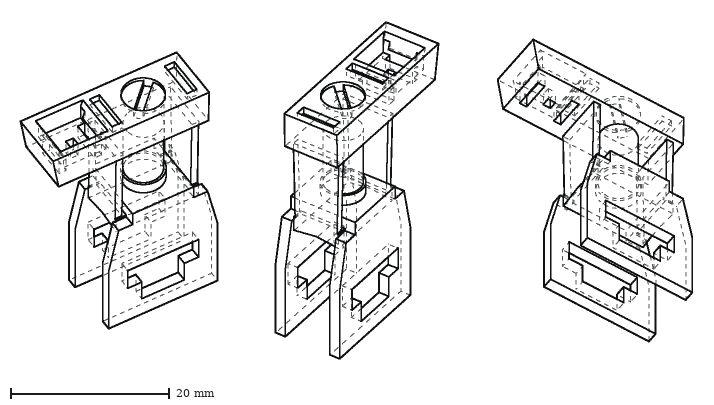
import cadquery as cq

total_height = 34.7
total_width = 9.8

plate_thickness = 1.53
plate_depth = 16.03
shoulder_depth = 13.1
taper_start_height = 10.75
shoulder_height = 17.5
bridge_depth = 9.02
bridge_height = 19.45
saddle_height = 17.85
saddle_edge_height = 15.7
saddle_peak_height = 16.15
plate_gap = total_width - 2 * plate_thickness

window_top = 9.23
window_step = 5.97
window_bottom = 2.88
window_wide = 10.4
window_narrow = 6.25

post_diameter = 5.15
collar_diameter = 5.8
collar_top = 21.0

cap_width = 8.0
cap_thickness = 5.2
cap_back = 7.32
cap_front = -15.7
cap_back_draft = 0.1
cap_front_draft = 0.85
cap_bottom = total_height - cap_thickness

leg_thickness = 1.0
leg_outer = 6.07
leg_top_width = 6.95
leg_bottom_width = 6.4

cap_slot_width = 5.48
cap_slot_depth = 1.42
cap_slot_sink = 1.0
cap_slot_offset = 5.5

head_diameter = 5.62
head_sink = 0.5
driver_slot_width = 1.2
driver_slot_depth = 1.0
driver_slot_angle = -45.0

pocket_center = -10.5
pocket_width = 6.15
pocket_mouth = 6.95
pocket_length = 6.25
pocket_floor = 31.58
catch_width = 4.05
catch_reach = 0.7
catch_drop = 2.0
catch_slot_length = 1.05
label_hole = 1.1


def box(width, depth, bottom, top, y_center=0.0):
    """Upright block centred on X = 0."""
    return (
        cq.Workplane("XY", origin=(0, y_center, bottom))
        .rect(width, depth)
        .extrude(top - bottom)
    )


def side_profile(points, width):
    """Closed (Y, Z) outline extruded along X, centred on X = 0."""
    return cq.Workplane("YZ").polyline(points).close().extrude(width / 2, both=True)


def front_profile(points, depth, y_center=0.0):
    """Closed (X, Z) outline extruded along Y, centred on y_center."""
    plane = cq.Workplane("XZ", origin=(0, y_center, 0))
    return plane.polyline(points).close().extrude(depth / 2, both=True)


def cylinder(diameter, bottom, top):
    return cq.Workplane("XY", origin=(0, 0, bottom)).circle(diameter / 2).extrude(top - bottom)


def make_clamp():
    half_plate = plate_depth / 2
    half_shoulder = shoulder_depth / 2
    half_bridge = bridge_depth / 2
    clamp = side_profile(
        [
            (-half_plate, 0),
            (half_plate, 0),
            (half_plate, taper_start_height),
            (half_shoulder, shoulder_height),
            (half_bridge, shoulder_height),
            (half_bridge, bridge_height),
            (-half_bridge, bridge_height),
            (-half_bridge, shoulder_height),
            (-half_shoulder, shoulder_height),
            (-half_plate, taper_start_height),
        ],
        total_width,
    )

    clamp = clamp.cut(box(plate_gap, plate_depth, 0, saddle_height))

    clamp = clamp.cut(box(total_width, window_wide, window_step, window_top))
    clamp = clamp.cut(box(total_width, window_narrow, window_bottom, window_step))

    half_gap = plate_gap / 2
    saddle = front_profile(
        [
            (-half_gap, saddle_edge_height),
            (0, saddle_peak_height),
            (half_gap, saddle_edge_height),
            (half_gap, saddle_height),
            (-half_gap, saddle_height),
        ],
        2 * leg_outer,
    )
    return clamp.union(saddle)


def make_leg(side):
    half_bottom = leg_bottom_width / 2
    half_top = leg_top_width / 2
    return front_profile(
        [
            (-half_bottom, saddle_height),
            (half_bottom, saddle_height),
            (half_top, cap_bottom),
            (-half_top, cap_bottom),
        ],
        leg_thickness,
        side * (leg_outer - leg_thickness / 2),
    )


def make_label_pocket():
    """Volume removed for the label, including its lead-in, catches and floor openings."""
    pocket = box(pocket_width, pocket_length, pocket_floor, total_height, pocket_center)
    pocket = pocket.union(box(label_hole, label_hole, cap_bottom, pocket_floor, pocket_center))

    for side in (-1, 1):
        mouth_y = pocket_center + side * pocket_mouth / 2
        wall_y = pocket_center + side * pocket_length / 2
        catch_y = mouth_y - side * catch_reach
        catch_bottom = total_height - catch_drop
        lead_in_drop = catch_drop * abs(mouth_y - wall_y) / catch_reach
        wall_top = total_height - lead_in_drop

        lead_in = side_profile(
            [(mouth_y, total_height), (wall_y, total_height), (wall_y, wall_top)], pocket_width
        )
        catch = side_profile(
            [(wall_y, wall_top), (catch_y, catch_bottom), (wall_y, catch_bottom)], catch_width
        )
        opening_y = wall_y - side * catch_slot_length / 2
        opening = box(catch_width, catch_slot_length, cap_bottom, pocket_floor, opening_y)

        pocket = pocket.union(lead_in).cut(catch).union(opening)
    return pocket


def make_cap():
    cap = side_profile(
        [
            (cap_front, total_height),
            (cap_back, total_height),
            (cap_back - cap_back_draft, cap_bottom),
            (cap_front + cap_front_draft, cap_bottom),
        ],
        cap_width,
    )

    for side in (-1, 1):
        slot_floor = total_height - cap_slot_sink
        slot_y = side * cap_slot_offset
        cap = cap.cut(box(cap_slot_width, cap_slot_depth, slot_floor, total_height, slot_y))

    head_top = total_height - head_sink
    slot_bottom = head_top - driver_slot_depth
    driver_slot = (
        box(head_diameter, driver_slot_width, slot_bottom, head_top)
        .rotate((0, 0, 0), (0, 0, 1), driver_slot_angle)
        .intersect(cylinder(head_diameter, slot_bottom, head_top))
    )
    cap = cap.cut(cylinder(head_diameter, head_top, total_height)).cut(driver_slot)

    return cap.cut(make_label_pocket())


collar = cylinder(collar_diameter, bridge_height, collar_top)
post = cylinder(post_diameter, bridge_height, cap_bottom)

result = make_clamp().union(collar).union(post).union(make_cap())
for leg_side in (-1, 1):
    result = result.union(make_leg(leg_side))